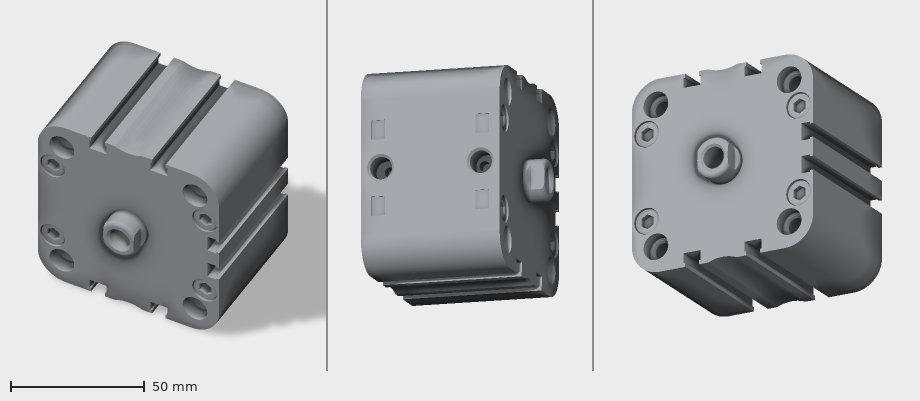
import cadquery as cq
import math


body_side = 77.0
body_length = 54.1
corner_radius = 11.85
half_side = body_side / 2

hollow_width = 12.1
hollow_depth = 1.2

face_slot_offset = 12.9
face_slot_mouth = 5.8
face_slot_channel = 7.2
face_slot_lip = 1.6
face_slot_depth = 5.55
side_slot_offset = 6.55
side_slot_mouth = 5.5
side_slot_channel = 6.85
side_slot_lip = 1.4
side_slot_depth = 5.0

mount_offset = 28.25
mount_hole_diameter = 6.6
mount_chamfer_diameter = 8.1
mount_counterbore_diameter = 10.5
mount_counterbore_depth = 5.2

screw_offset_x = 32.3
screw_offset_z = 17.3
screw_seat_diameter = 10.5
screw_head_diameter = 9.8
screw_sunk_depth = 0.8
screw_gap_depth = 0.8
socket_across_flats = 5.15
socket_depth = 2.5

port_inset = 7.6
port_diameter = 8.55
port_mouth_diameter = 10.5
port_depth = 9.25
passage_diameter = 4.0
passage_offset = 1.0
passage_depth = 4.6

label_width = 5.2
label_height = 7.3
label_inset = 6.85
label_offset_z = 14.55
label_depth = 0.4

rod_diameter = 16.0
rod_length = 7.85
rod_end_radius = 1.6
rod_gap_diameter = 17.0
rod_gap_depth = 0.8
flat_across = 12.9
flat_length = 5.3
rod_hole_diameter = 8.55
rod_hole_mouth_diameter = 10.3
rod_hole_depth = 15.4


def cylinder_y(x, z, diameter, y_start, length):
    """Cylinder along +Y that starts at y_start."""
    return cq.Workplane("XY").add(
        cq.Solid.makeCylinder(diameter / 2, length, cq.Vector(x, y_start, z), cq.Vector(0, 1, 0))
    )


def countersink(start, direction, mouth_diameter, inner_diameter):
    """45-degree cone that opens a hole from inner_diameter to mouth_diameter."""
    depth = (mouth_diameter - inner_diameter) / 2
    return cq.Workplane("XY").add(
        cq.Solid.makeCone(
            mouth_diameter / 2, inner_diameter / 2, depth, cq.Vector(*start), cq.Vector(*direction)
        )
    )


def slot_cutter(offset, mouth, channel, lip, depth):
    """Slot through the top face at X = offset, running the full length of the body."""
    floor = half_side - depth

    def strip(width, height):
        box = cq.Workplane("XY").box(width, body_length, height, centered=(True, False, False))
        return box.translate((offset, 0, floor))

    return strip(mouth, depth).union(strip(channel, depth - lip))


def hollow_cutter():
    """Circular segment that forms the hollow along the top face."""
    return (
        cq.Workplane("XZ")
        .moveTo(-hollow_width / 2, half_side)
        .threePointArc((0, half_side - hollow_depth), (hollow_width / 2, half_side))
        .close()
        .extrude(-body_length)
    )


def make_body():
    body = (
        cq.Workplane("XY")
        .box(body_side, body_length, body_side, centered=(True, False, True))
        .edges("|Y")
        .fillet(corner_radius)
    )

    top_cutter = hollow_cutter()
    for side in (-1, 1):
        top_cutter = top_cutter.union(
            slot_cutter(
                side * face_slot_offset, face_slot_mouth, face_slot_channel, face_slot_lip, face_slot_depth
            )
        )
    body = body.cut(top_cutter).cut(top_cutter.mirror("XY"))

    for side in (-1, 1):
        slot = slot_cutter(
            side * side_slot_offset, side_slot_mouth, side_slot_channel, side_slot_lip, side_slot_depth
        )
        body = body.cut(slot.rotate((0, 0, 0), (0, 1, 0), 90))
    return body


def cut_mounting_hole(body, x, z):
    floor = mount_counterbore_depth
    body = body.cut(cylinder_y(x, z, mount_counterbore_diameter, 0, floor))
    body = body.cut(countersink((x, floor, z), (0, 1, 0), mount_chamfer_diameter, mount_hole_diameter))
    return body.cut(cylinder_y(x, z, mount_hole_diameter, 0, body_length))


def cut_screw(body, x, z):
    """Seat that sinks the screw head, narrow gap round the head, and its hexagon socket."""
    seat = cylinder_y(x, z, screw_seat_diameter, 0, screw_sunk_depth + screw_gap_depth)
    head = cylinder_y(x, z, screw_head_diameter, screw_sunk_depth, screw_gap_depth)
    across_corners = socket_across_flats / math.cos(math.pi / 6)
    socket = (
        cq.Workplane("XZ")
        .polygon(6, across_corners)
        .extrude(-socket_depth)
        .rotate((0, 0, 0), (0, 1, 0), 30)
        .translate((x, screw_sunk_depth, z))
    )
    return body.cut(seat.cut(head)).cut(socket)


def cut_port(body, y, inward):
    """Air port at Y = y; inward is the Y direction towards the middle of the body."""
    def bore(y_centre, diameter, depth):
        return cq.Workplane("XY").add(
            cq.Solid.makeCylinder(
                diameter / 2, depth, cq.Vector(-half_side, y_centre, 0), cq.Vector(1, 0, 0)
            )
        )

    body = body.cut(bore(y, port_diameter, port_depth))
    body = body.cut(countersink((-half_side, y, 0), (1, 0, 0), port_mouth_diameter, port_diameter))
    return body.cut(bore(y + inward * passage_offset, passage_diameter, port_depth + passage_depth))


def cut_label(body, y, z):
    recess = cq.Workplane("XY").box(2 * label_depth, label_width, label_height)
    return body.cut(recess.translate((-half_side, y, z)))


def add_rod(body):
    gap = cylinder_y(0, 0, rod_gap_diameter, 0, rod_gap_depth)
    rod = cylinder_y(0, 0, rod_diameter, -rod_length, rod_length + rod_gap_depth)
    rod = rod.faces("<Y").edges().fillet(rod_end_radius)

    flat_end = flat_length - rod_length
    run_out = rod_diameter / 2
    for side in (-1, 1):
        flat = (
            cq.Workplane("XY")
            .moveTo(side * flat_across / 2, -rod_length)
            .lineTo(side * flat_across / 2, flat_end)
            .lineTo(side * (flat_across / 2 + run_out), flat_end + run_out)
            .lineTo(side * (flat_across / 2 + run_out), -rod_length)
            .close()
            .extrude(rod_diameter, both=True)
        )
        rod = rod.cut(flat)

    body = body.cut(gap).union(rod)
    body = body.cut(cylinder_y(0, 0, rod_hole_diameter, -rod_length, rod_hole_depth))
    return body.cut(
        countersink((0, -rod_length, 0), (0, 1, 0), rod_hole_mouth_diameter, rod_hole_diameter)
    )


result = make_body()

for side_x in (-1, 1):
    for side_z in (-1, 1):
        result = cut_mounting_hole(result, side_x * mount_offset, side_z * mount_offset)
        result = cut_screw(result, side_x * screw_offset_x, side_z * screw_offset_z)

result = cut_port(result, port_inset, 1)
result = cut_port(result, body_length - port_inset, -1)

for label_y in (label_inset, body_length - label_inset):
    for side_z in (-1, 1):
        result = cut_label(result, label_y, side_z * label_offset_z)

result = add_rod(result)